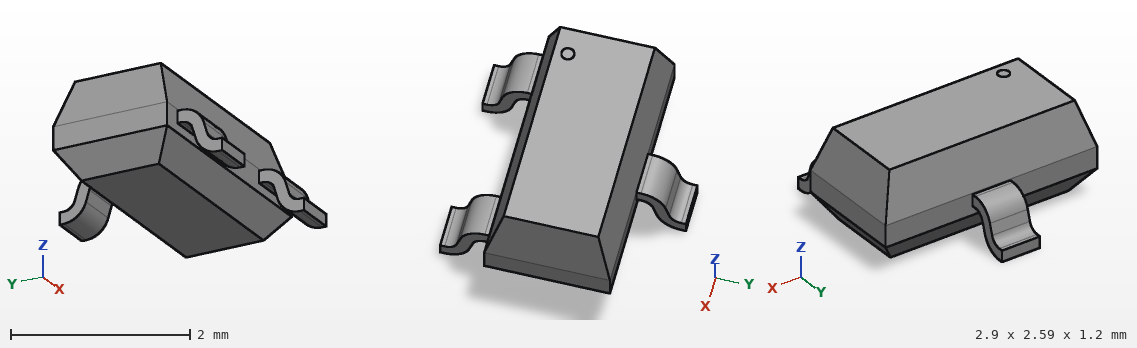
import cadquery as cq
import math

body_length = 2.9
body_width = 1.45
lower_height = 0.33
belt_height = 0.287
body_height = 1.198
upper_inset = 0.18
lower_inset = 0.232

overall_height = 1.2
marker_diameter = 0.145
marker_x = -0.95
marker_y = -0.377

lead_span = 2.59
lead_width = 0.52
lead_thickness = 0.15
lead_top = 0.6
lead_pitch = 1.902
inner_bend_radius = 0.145
bend_angle = math.radians(73)

belt_top = lower_height + belt_height
outer_bend_radius = inner_bend_radius + lead_thickness


def tapered_block(base_z, end_z, end_inset):
    """Frustum from the full belt outline at base_z to the inset outline at end_z."""
    return (
        cq.Workplane("XY", origin=(0, 0, base_z))
        .rect(body_length, body_width)
        .workplane(offset=end_z - base_z)
        .rect(body_length - 2 * end_inset, body_width - 2 * end_inset)
        .loft(ruled=True)
    )


def make_housing():
    belt = cq.Workplane("XY", origin=(0, 0, lower_height)).rect(body_length, body_width).extrude(belt_height)
    upper = tapered_block(belt_top, body_height, upper_inset)
    lower = tapered_block(lower_height, 0, lower_inset)
    return belt.union(upper).union(lower)


def make_marker():
    return (
        cq.Workplane("XY", origin=(marker_x, marker_y, body_height))
        .circle(marker_diameter / 2)
        .extrude(overall_height - body_height)
    )


def arc_point(center, radius, angle):
    """Point on a circle, with the angle measured from +Y toward +Z."""
    return (center[0] + radius * math.cos(angle), center[1] + radius * math.sin(angle))


def make_lead(x_center):
    """Lead on the +Y side, drawn in the YZ plane from the wall out to the toe."""
    wall_y = body_width / 2
    toe_y = lead_span / 2

    bend_radii = inner_bend_radius + outer_bend_radius
    leg_drop = lead_top - lead_thickness - bend_radii * (1 - math.cos(bend_angle))
    leg_run = leg_drop / math.tan(bend_angle)
    bends_run = bend_radii * math.sin(bend_angle)
    flat_length = (toe_y - wall_y - bends_run - leg_run) / 2

    shoulder = (wall_y + flat_length, lead_top - outer_bend_radius)
    foot = (toe_y - flat_length, outer_bend_radius)
    up = math.pi / 2
    down = -math.pi / 2
    shoulder_end = up - bend_angle
    shoulder_mid = up - bend_angle / 2
    foot_start = down - bend_angle
    foot_mid = down - bend_angle / 2

    return (
        cq.Workplane("YZ", origin=(x_center - lead_width / 2, 0, 0))
        .moveTo(wall_y, lead_top)
        .lineTo(*arc_point(shoulder, outer_bend_radius, up))
        .threePointArc(
            arc_point(shoulder, outer_bend_radius, shoulder_mid),
            arc_point(shoulder, outer_bend_radius, shoulder_end),
        )
        .lineTo(*arc_point(foot, inner_bend_radius, foot_start))
        .threePointArc(
            arc_point(foot, inner_bend_radius, foot_mid),
            arc_point(foot, inner_bend_radius, down),
        )
        .lineTo(toe_y, lead_thickness)
        .lineTo(toe_y, 0)
        .lineTo(*arc_point(foot, outer_bend_radius, down))
        .threePointArc(
            arc_point(foot, outer_bend_radius, foot_mid),
            arc_point(foot, outer_bend_radius, foot_start),
        )
        .lineTo(*arc_point(shoulder, inner_bend_radius, shoulder_end))
        .threePointArc(
            arc_point(shoulder, inner_bend_radius, shoulder_mid),
            arc_point(shoulder, inner_bend_radius, up),
        )
        .lineTo(wall_y, lead_top - lead_thickness)
        .close()
        .extrude(lead_width)
    )


housing = make_housing()
marker = make_marker()

leads = [make_lead(0)]
for lead_x in (-lead_pitch / 2, lead_pitch / 2):
    leads.append(make_lead(-lead_x).rotate((0, 0, 0), (0, 0, 1), 180))

result = cq.Compound.makeCompound([housing.val(), marker.val(), *[lead.val() for lead in leads]])